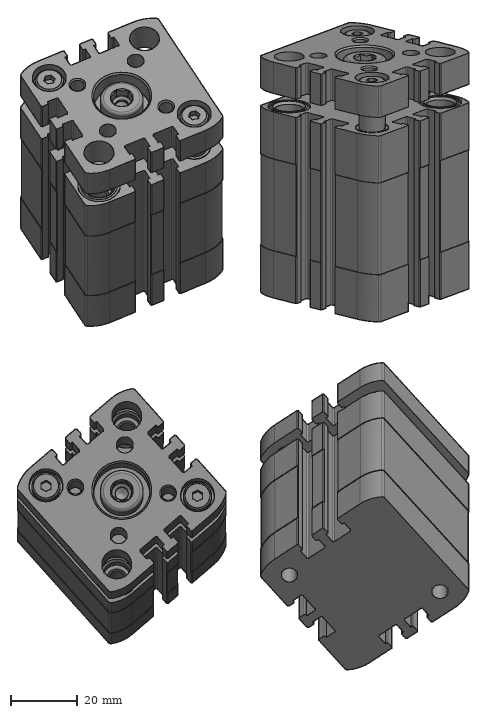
import cadquery as cq
import math

TOTAL_HEIGHT = 75.0
SIDE = 47.0
HALF = SIDE / 2
PLATE_THICKNESS = 10.0
PLATE_BOTTOM = TOTAL_HEIGHT - PLATE_THICKNESS
HOUSING_TOP = 59.2
CAP_HEIGHT = 15.0
BARREL_INSET = 0.15

TOLERANCE = 0.01

CORNER_ARC_RADIUS = 12.5
CORNER_ARC_START = 16.35
CORNER_BLEND_RADIUS = 1.0
SLOT_OFFSET = 4.9
SLOT_NECK_WIDTH = 5.2
SLOT_WIDTH = 6.9
SLOT_LIP = 2.5
SLOT_DEPTH = 6.0
SLOT_MOUTH_CHAMFER = 0.3
SLOT_LIP_ROUND = 0.3
SLOT_FLOOR_ROUND = 0.45

CORNER_PITCH = 32.5
PIN_PITCH = 19.9
DIAGONAL = [(1, 1), (-1, -1)]
CROSS_DIAGONAL = [(-1, 1), (1, -1)]

GUIDE_DIAMETER = 8.0
GUIDE_BOTTOM = 30.0
GUIDE_BUSH_DIAMETER = 10.0
GUIDE_BUSH_RECESS = 0.2
GUIDE_COUNTERBORE = 10.2
GUIDE_COUNTERBORE_DEPTH = 3.75
GUIDE_HEAD_DIAMETER = 8.55
GUIDE_HEAD_DEPTH = 0.8
GUIDE_HEAD_CHAMFER = 0.5
GUIDE_HEX = 3.0
GUIDE_HEX_DEPTH = 2.0

ROD_DIAMETER = 12.0
ROD_BOTTOM = 30.0
ROD_FLATS = 10.0
ROD_FLAT_BOTTOM = 60.45
ROD_COUNTERBORE = 17.0
ROD_COUNTERBORE_DEPTH = 6.45
ROD_COUNTERBORE_CHAMFER = 0.5
ROD_HEAD_DIAMETER = 13.0
ROD_HEAD_DEPTH = 1.0
ROD_HEAD_ROUND = 1.0
ROD_HEX = 6.0
ROD_HEX_DEPTH = 3.0
ROD_HEX_CORNERS = ROD_HEX / math.cos(math.radians(30))
ROD_DRILL = 4.0
ROD_DRILL_DEPTH = 0.75

PLATE_CLEARANCE_HOLE = 9.0
PLATE_PIN_HOLE = 5.0
PLATE_THREAD_HOLE = 4.1

BUSH_DIAMETER = 12.8
BUSH_TOP_DIAMETER = 11.2
BUSH_BORE = 8.5
BUSH_BORE_DEPTH = 5.0
BUSH_BORE_MOUTH = 10.0
THROUGH_HOLE = 4.95
THROUGH_HOLE_MOUTH = 6.0


def at_corners(pitch, signs):
    return [(sx * pitch / 2, sy * pitch / 2) for sx, sy in signs]


def cylinder(diameter, bottom, top, points=((0, 0),)):
    return (cq.Workplane("XY", origin=(0, 0, bottom)).pushPoints(list(points))
            .circle(diameter / 2).extrude(top - bottom))


def cone(bottom_diameter, top_diameter, bottom, top, points=((0, 0),)):
    """Frustums with vertical axes; a bottom diameter of zero gives a pointed cone."""
    solid = cq.Solid.makeCone(bottom_diameter / 2, top_diameter / 2, top - bottom)
    return (cq.Workplane("XY", origin=(0, 0, bottom)).pushPoints(list(points))
            .eachpoint(lambda place: solid.moved(place), combine=False))


def hex_socket(across_flats, bottom, top, turn, points=((0, 0),)):
    corners = across_flats / math.cos(math.radians(30))
    prism = (cq.Workplane("XY").polygon(6, corners).extrude(top - bottom)
             .rotate((0, 0, 0), (0, 0, 1), turn).val())
    return (cq.Workplane("XY", origin=(0, 0, bottom)).pushPoints(list(points))
            .eachpoint(lambda place: prism.moved(place), combine=False))


def rounded_block(inset, bottom, top):
    """Block whose left and right faces curve in towards the front and back faces."""
    half = HALF - inset
    rise = half - CORNER_ARC_START
    arc_end = half - CORNER_ARC_RADIUS + math.sqrt(CORNER_ARC_RADIUS**2 - rise**2)
    half_angle = math.asin(rise / CORNER_ARC_RADIUS) / 2
    mid_x = half - CORNER_ARC_RADIUS * (1 - math.cos(half_angle))
    mid_y = CORNER_ARC_START + CORNER_ARC_RADIUS * math.sin(half_angle)
    block = (cq.Workplane("XY", origin=(0, 0, bottom))
             .moveTo(half, -CORNER_ARC_START)
             .lineTo(half, CORNER_ARC_START)
             .threePointArc((mid_x, mid_y), (arc_end, half))
             .lineTo(-arc_end, half)
             .threePointArc((-mid_x, mid_y), (-half, CORNER_ARC_START))
             .lineTo(-half, -CORNER_ARC_START)
             .threePointArc((-mid_x, -mid_y), (-arc_end, -half))
             .lineTo(arc_end, -half)
             .threePointArc((mid_x, -mid_y), (half, -CORNER_ARC_START))
             .close().extrude(top - bottom))

    def is_blended(edge):
        return abs(edge.Center().y) > half - TOLERANCE

    return block.edges("|Z").filter(is_blended).fillet(CORNER_BLEND_RADIUS)


def slot_cutters(inset, bottom, top):
    """Pairs of T-slots for the left, right and front faces of a block with that inset."""
    neck = SLOT_NECK_WIDTH / 2
    wide = SLOT_WIDTH / 2
    chamfer = SLOT_MOUTH_CHAMFER
    mouth = -HALF + inset
    lip = -HALF + SLOT_LIP
    floor = -HALF + SLOT_DEPTH
    half_outline = [
        (neck + chamfer, mouth),
        (neck, mouth + chamfer),
        (neck, lip),
        (wide, lip),
        (wide, floor),
    ]
    outline = half_outline + [(-u, v) for u, v in reversed(half_outline)]

    def on_lip(edge):
        centre = edge.Center()
        return abs(centre.y - lip) < TOLERANCE and abs(centre.x) < neck + TOLERANCE

    def on_floor(edge):
        return edge.Center().y > floor - TOLERANCE

    slot = (cq.Workplane("XY", origin=(0, 0, bottom)).polyline(outline).close().extrude(top - bottom)
            .edges("|Z").filter(on_lip).fillet(SLOT_LIP_ROUND)
            .edges("|Z").filter(on_floor).fillet(SLOT_FLOOR_ROUND))
    cutters = cq.Workplane("XY")
    for side in (-1, 1):
        front = slot.translate((side * SLOT_OFFSET, 0, 0))
        for turn in (0, 90, -90):
            cutters = cutters.add(front.rotate((0, 0, 0), (0, 0, 1), turn))
    return cutters.combine()


def slotted_block(inset, bottom, top):
    return rounded_block(inset, bottom, top).cut(slot_cutters(inset, bottom, top))


def chamfered_hole(diameter, mouth_diameter, bottom, top, points):
    """Hole with a 45 degree chamfer at its upper mouth."""
    chamfer = (mouth_diameter - diameter) / 2
    return (cylinder(diameter, bottom, top, points)
            .union(cone(diameter, mouth_diameter, top - chamfer, top, points)))


def make_housing():
    upper_cap = HOUSING_TOP - CAP_HEIGHT
    body = (slotted_block(0, 0, CAP_HEIGHT)
            .union(slotted_block(BARREL_INSET, CAP_HEIGHT, upper_cap))
            .union(slotted_block(0, upper_cap, HOUSING_TOP)))

    guides = at_corners(CORNER_PITCH, DIAGONAL)
    body = body.cut(cylinder(ROD_DIAMETER, ROD_BOTTOM, HOUSING_TOP))
    body = body.cut(cylinder(GUIDE_DIAMETER, GUIDE_BOTTOM, HOUSING_TOP, guides))
    body = body.cut(cylinder(GUIDE_BUSH_DIAMETER, HOUSING_TOP - GUIDE_BUSH_RECESS, HOUSING_TOP, guides))

    bushes = at_corners(CORNER_PITCH, CROSS_DIAGONAL)
    groove_bottom = HOUSING_TOP - (BUSH_DIAMETER - BUSH_TOP_DIAMETER) / 2
    groove = (cylinder(BUSH_DIAMETER, groove_bottom, HOUSING_TOP, bushes)
              .cut(cone(BUSH_DIAMETER, BUSH_TOP_DIAMETER, groove_bottom, HOUSING_TOP, bushes)))
    bore_floor = HOUSING_TOP - BUSH_BORE_DEPTH
    return (body.cut(groove)
            .cut(chamfered_hole(BUSH_BORE, BUSH_BORE_MOUTH, bore_floor, HOUSING_TOP, bushes))
            .cut(chamfered_hole(THROUGH_HOLE, THROUGH_HOLE_MOUTH, 0, bore_floor, bushes)))


def make_plate():
    plate = slotted_block(0, PLATE_BOTTOM, TOTAL_HEIGHT)
    clearance = at_corners(CORNER_PITCH, CROSS_DIAGONAL)
    pins = at_corners(PIN_PITCH, CROSS_DIAGONAL)
    threads = at_corners(PIN_PITCH, DIAGONAL)
    return (plate
            .cut(cylinder(PLATE_CLEARANCE_HOLE, PLATE_BOTTOM, TOTAL_HEIGHT, clearance))
            .cut(cylinder(PLATE_PIN_HOLE, PLATE_BOTTOM, TOTAL_HEIGHT, pins))
            .cut(chamfered_hole(PLATE_THREAD_HOLE, PLATE_PIN_HOLE, PLATE_BOTTOM, TOTAL_HEIGHT, threads)))


def add_guide_rods(plate):
    """Guide rods below the plate and their screw heads in counterbores above."""
    points = at_corners(CORNER_PITCH, DIAGONAL)
    floor = TOTAL_HEIGHT - GUIDE_COUNTERBORE_DEPTH
    head_top = TOTAL_HEIGHT - GUIDE_HEAD_DEPTH
    heads = cylinder(GUIDE_HEAD_DIAMETER, floor, head_top, points).faces(">Z").chamfer(GUIDE_HEAD_CHAMFER)
    return (plate
            .cut(cylinder(GUIDE_COUNTERBORE, floor, TOTAL_HEIGHT, points))
            .union(heads)
            .cut(hex_socket(GUIDE_HEX, head_top - GUIDE_HEX_DEPTH, head_top, -45, points))
            .union(cylinder(GUIDE_DIAMETER, GUIDE_BOTTOM, PLATE_BOTTOM, points)))


def make_piston_rod():
    """Piston rod with two wrench flats, each running out at 45 degrees to the full diameter."""
    rod = cylinder(ROD_DIAMETER, ROD_BOTTOM, PLATE_BOTTOM)
    radius = ROD_DIAMETER / 2
    flat = ROD_FLATS / 2
    runout = radius - flat
    for side in (-1, 1):
        wedge = (cq.Workplane("YZ", origin=(-radius, 0, 0))
                 .moveTo(side * flat, PLATE_BOTTOM)
                 .lineTo(side * flat, ROD_FLAT_BOTTOM)
                 .lineTo(side * radius, ROD_FLAT_BOTTOM - runout)
                 .lineTo(side * radius, PLATE_BOTTOM)
                 .close().extrude(ROD_DIAMETER))
        rod = rod.cut(wedge)
    return rod


def add_piston_rod(plate):
    """Piston rod below the plate and its screw head in a counterbore above."""
    floor = TOTAL_HEIGHT - ROD_COUNTERBORE_DEPTH
    head_top = TOTAL_HEIGHT - ROD_HEAD_DEPTH
    mouth = ROD_COUNTERBORE + 2 * ROD_COUNTERBORE_CHAMFER
    head = cylinder(ROD_HEAD_DIAMETER, floor, head_top).faces(">Z").edges().fillet(ROD_HEAD_ROUND)

    tip_slope = math.tan(math.radians(30))
    socket_floor = head_top - ROD_HEX_DEPTH
    mouth_depth = (ROD_HEX_CORNERS - ROD_HEX) / 2
    cone_bottom = socket_floor - (ROD_HEX - ROD_DRILL) / 2 * tip_slope
    drill_bottom = cone_bottom - ROD_DRILL_DEPTH
    socket = (hex_socket(ROD_HEX, socket_floor, head_top, 0)
              .union(cone(ROD_HEX, ROD_HEX_CORNERS, head_top - mouth_depth, head_top))
              .union(cone(ROD_DRILL, ROD_HEX, cone_bottom, socket_floor))
              .union(cylinder(ROD_DRILL, drill_bottom, cone_bottom))
              .union(cone(0, ROD_DRILL, drill_bottom - ROD_DRILL / 2 * tip_slope, drill_bottom)))
    return (plate
            .cut(chamfered_hole(ROD_COUNTERBORE, mouth, floor, TOTAL_HEIGHT, [(0, 0)]))
            .union(head)
            .cut(socket)
            .union(make_piston_rod()))


housing = make_housing()
moving_plate = add_piston_rod(add_guide_rods(make_plate()))
result = cq.Compound.makeCompound([housing.val(), moving_plate.val()])